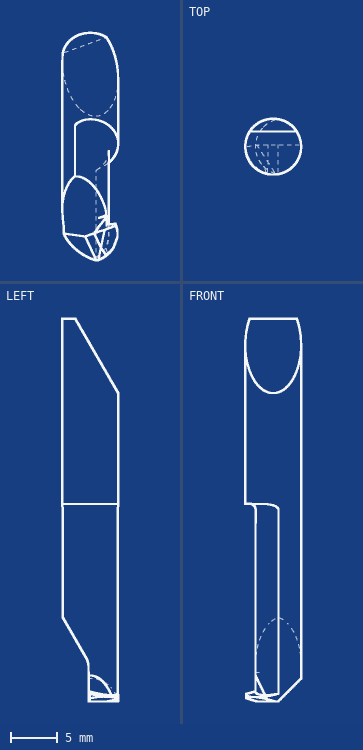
import cadquery as cq
import math

bar_radius = 3.0
bar_length = 40.95
bar_diameter = 2 * bar_radius

top_land_depth = 1.4
top_slope_angle = 30.0

neck_offset = 1.1
shoulder_z = 21.15
shoulder_fillet = 0.6

back_flat_y = 0.2
back_slope_top_z = 9.1
back_slope_angle = 30.0
back_fillet = 2.0

end_chamfer = 2.5

tooth_low_z = 0.37
tooth_width = 0.47
tooth_inset = 0.08
tooth_inset_y = -0.02
tooth_upper_side_angle = 13.0
tooth_lower_side_angle = 16.0
tooth_upper_relief_angle = 15.0
tooth_lower_relief_angle = 10.5
edge_x = tooth_inset - bar_radius

rake_rise_x = 1.8
rake_top_z = 3.1

joint_top_z = 2.8
joint_slope = 2.05

margin = 1.0
reach = bar_radius + margin


def tan_degrees(angle):
    return math.tan(math.radians(angle))


def prism_along_y(points, y_start, y_end):
    """Extrude an XZ outline from y_start to y_end."""
    outline = cq.Workplane("XZ", origin=(0, y_start, 0)).polyline(points).close()
    return outline.extrude(y_start - y_end)


def round_bar(offset_x=0, offset_y=0):
    return cq.Workplane("XY").center(offset_x, offset_y).circle(bar_radius).extrude(bar_length)


def top_slope():
    """Wedge in front of the sloping flat at the upper end."""
    land_y = bar_radius - top_land_depth
    slope_rise = 1 / tan_degrees(top_slope_angle)
    outer_z = bar_length - (land_y + reach) * slope_rise
    raised_y = land_y + margin
    raised_z = bar_length + margin * slope_rise
    points = [(raised_y, raised_z), (-reach, outer_z), (-reach, raised_z)]
    return cq.Workplane("YZ").polyline(points).close().extrude(reach, both=True)


def back_relief():
    """Block behind the sloping back and the flat below it, with a rounded corner between them."""
    slope_rise = 1 / tan_degrees(back_slope_angle)
    corner_z = back_slope_top_z - (bar_radius - back_flat_y) * slope_rise
    outer_z = back_slope_top_z + margin * slope_rise
    points = [(back_flat_y, -margin), (back_flat_y, corner_z), (reach, outer_z), (reach, -margin)]
    block = cq.Workplane("YZ").polyline(points).close().extrude(reach, both=True)
    corner = cq.selectors.NearestToPointSelector((0, back_flat_y, corner_z))
    return block.edges(corner).fillet(back_fillet)


def corner_chamfer():
    inner_x = bar_radius - end_chamfer - margin
    points = [(inner_x, -margin), (reach, -margin), (reach, end_chamfer + margin)]
    return prism_along_y(points, -reach, reach)


def neck_and_shoulder():
    """Offset cylinder that flares through the shoulder fillet into the full bar."""
    fillet_start_z = shoulder_z - shoulder_fillet
    fillet_centre_r = bar_radius + shoulder_fillet
    arc_shift = shoulder_fillet * math.sqrt(0.5)
    wide_r = bar_diameter
    profile = (
        cq.Workplane("XZ", origin=(neck_offset, 0, 0))
        .moveTo(0, 0)
        .lineTo(-bar_radius, 0)
        .lineTo(-bar_radius, fillet_start_z)
        .threePointArc(
            (-fillet_centre_r + arc_shift, fillet_start_z + arc_shift),
            (-fillet_centre_r, shoulder_z),
        )
        .lineTo(-wide_r, shoulder_z)
        .lineTo(-wide_r, bar_length)
        .lineTo(0, bar_length)
        .close()
    )
    return profile.revolve(360, (0, 0, 0), (0, 1, 0))


def block_below(edge_z, side_slope, relief_slope):
    """Block under the plane z = edge_z + side_slope * (x - edge_x) + relief_slope * y."""
    depth = 4 * bar_diameter

    def height(x, y):
        return edge_z + side_slope * (x - edge_x) + relief_slope * y

    def section(x):
        z_low = height(x, -reach)
        z_high = height(x, reach)
        corners = [(x, -reach, -depth), (x, -reach, z_low), (x, reach, z_high), (x, reach, -depth)]
        return cq.Wire.makePolygon([cq.Vector(*c) for c in corners], close=True)

    return cq.Workplane(cq.Solid.makeLoft([section(-reach), section(reach)], True))


def rake_relief():
    """Wedge above the rake face, from the cutting edge to the back flat."""
    x_end = edge_x + rake_rise_x
    points = [(edge_x, 0), (x_end, back_flat_y), (x_end, reach), (-reach, reach), (-reach, 0)]
    return cq.Workplane("XY").polyline(points).close().extrude(rake_top_z)


def tip_region():
    """Everything on the -X side of the joint plane."""
    neck_x = neck_offset - bar_radius
    foot_x = neck_x + (joint_top_z + margin) / joint_slope
    head_z = joint_top_z + (neck_x + reach) * joint_slope
    points = [(foot_x, -margin), (-reach, head_z), (-reach, -margin)]
    return prism_along_y(points, -reach, reach)


def tooth_foot():
    """Lower end under the upper tooth flank; its outer wall stands slightly inside the bar surface."""
    foot = block_below(
        tooth_low_z + tooth_width,
        tan_degrees(tooth_upper_side_angle),
        tan_degrees(tooth_upper_relief_angle),
    )
    return foot.intersect(round_bar(tooth_inset, tooth_inset_y))


def under_tooth():
    """Block below the lower tooth flank."""
    return block_below(
        tooth_low_z,
        -tan_degrees(tooth_lower_side_angle),
        -tan_degrees(tooth_lower_relief_angle),
    )


bar = neck_and_shoulder().union(tooth_foot()).intersect(round_bar())
bar = bar.cut(top_slope()).cut(back_relief()).cut(corner_chamfer())
bar = bar.cut(under_tooth()).cut(rake_relief())

shank = bar.cut(tip_region())
cutting_tip = bar.intersect(tip_region())

result = cq.Compound.makeCompound([*shank.solids().vals(), *cutting_tip.solids().vals()])